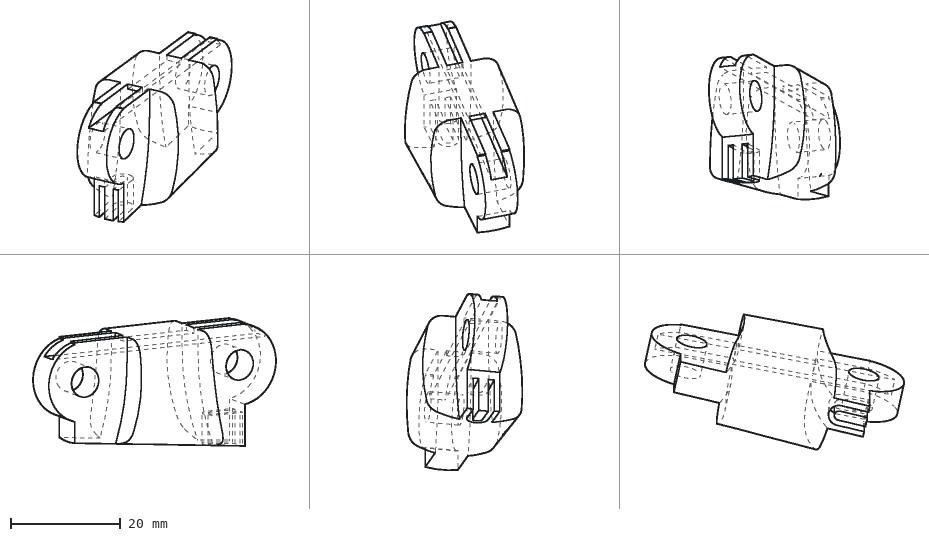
import cadquery as cq
import math

OVERALL_LENGTH = 46.95
TOTAL_HEIGHT = 22.95

LUG_WIDTH = 6.1
LUG_RADIUS = 7.5
HOLE_DIAMETER = 5.6
LUG_FRONT = -17.1
LUG_REAR = 18.08
PIVOT_Y = OVERALL_LENGTH / 2 - LUG_RADIUS
PIVOT_Z = -LUG_RADIUS

UNDERSIDE_SLOPE = 0.114
UNDERSIDE_RADIUS = 17.85

BODY_HALF_WIDTH = 9.273
WIDEST_Y = -7.5
WIDEST_Z = -11.75
SIDE_RADIUS = 43.65
SIDE_TAPER = 0.028
EDGE_RADIUS = 3.0
END_HALF_LENGTH = 7.32
END_RADIUS = 48.85
END_CURVE_START = -4.7

CHANNEL_WIDTH = 3.0
CHANNEL_FLOOR = -3.0
CHANNEL_ROOF = -1.0

GROOVE_OUTER_RADIUS = 1.95
GROOVE_INNER_RADIUS = 0.9
GROOVE_TOP = -16.55
GROOVE_CENTER_Y = -12.0

REACH = OVERALL_LENGTH
DEEP = -28.15


def section_plane(y):
    """XZ section plane at the given y, with X right and Z up."""
    return cq.Plane(origin=(0, y, 0), xDir=(1, 0, 0), normal=(0, -1, 0))


def loft_along_y(section, front, rear):
    """Ruled loft between the sections at two Y positions."""
    wires = [section(y).val() for y in (front, rear)]
    return cq.Workplane(obj=cq.Solid.makeLoft(wires, True))


def underside_section(y):
    """Region above the crowned underside."""
    half = 11.75
    lowest = -TOTAL_HEIGHT + UNDERSIDE_SLOPE * (y - LUG_FRONT)
    edge = lowest + UNDERSIDE_RADIUS - math.sqrt(UNDERSIDE_RADIUS**2 - half**2)
    return (
        cq.Workplane(section_plane(y))
        .moveTo(-half, 0)
        .lineTo(-half, edge)
        .threePointArc((0, lowest), (half, edge))
        .lineTo(half, 0)
        .close()
    )


def side_section(y):
    """Region between the two convex side walls."""
    half_width = BODY_HALF_WIDTH - SIDE_TAPER * (y - WIDEST_Y)
    widest_z = WIDEST_Z + UNDERSIDE_SLOPE * (y - WIDEST_Y)

    def wall_x(z):
        return half_width - SIDE_RADIUS + math.sqrt(SIDE_RADIUS**2 - (z - widest_z)**2)

    return (
        cq.Workplane(section_plane(y))
        .moveTo(-wall_x(0), 0)
        .threePointArc((-half_width, widest_z), (-wall_x(DEEP), DEEP))
        .lineTo(wall_x(DEEP), DEEP)
        .threePointArc((half_width, widest_z), (wall_x(0), 0))
        .close()
    )


def end_y(z):
    """Distance of the flared body end from the XZ plane below the straight part."""
    return END_HALF_LENGTH + END_RADIUS - math.sqrt(END_RADIUS**2 - (z - END_CURVE_START)**2)


def make_body(underside):
    blank_end = end_y(DEEP)
    body = loft_along_y(side_section, -blank_end, blank_end).intersect(underside)
    corners = [e for e in body.edges().vals() if e.Length() > 1.9 * blank_end]
    body = body.newObject(corners).fillet(EDGE_RADIUS)
    middle_z = (END_CURVE_START + DEEP) / 2
    ends = (
        cq.Workplane("YZ")
        .moveTo(-END_HALF_LENGTH, 0)
        .lineTo(-END_HALF_LENGTH, END_CURVE_START)
        .threePointArc((-end_y(middle_z), middle_z), (-end_y(DEEP), DEEP))
        .lineTo(end_y(DEEP), DEEP)
        .threePointArc((end_y(middle_z), middle_z), (END_HALF_LENGTH, END_CURVE_START))
        .lineTo(END_HALF_LENGTH, 0)
        .close()
        .extrude(REACH / 2, both=True)
    )
    return body.intersect(ends)


def make_lugs(underside):
    web_length = LUG_REAR - LUG_FRONT
    web_y = (LUG_REAR + LUG_FRONT) / 2
    web = cq.Workplane("XY").box(LUG_WIDTH, web_length, -DEEP).translate((0, web_y, DEEP / 2))
    lugs = web.intersect(underside)
    for y in (-PIVOT_Y, PIVOT_Y):
        eye = (
            cq.Workplane("YZ")
            .center(y, PIVOT_Z)
            .circle(LUG_RADIUS)
            .extrude(LUG_WIDTH / 2, both=True)
        )
        lugs = lugs.union(eye)
    return lugs


def make_pivot_holes():
    return (
        cq.Workplane("YZ")
        .pushPoints([(-PIVOT_Y, PIVOT_Z), (PIVOT_Y, PIVOT_Z)])
        .circle(HOLE_DIAMETER / 2)
        .extrude(REACH / 2, both=True)
    )


def make_channel():
    channel = cq.Workplane("XY").box(CHANNEL_WIDTH, OVERALL_LENGTH, -CHANNEL_FLOOR)
    roof = (
        cq.Workplane("XY")
        .box(CHANNEL_WIDTH, 2 * END_HALF_LENGTH, -CHANNEL_ROOF)
        .translate((0, 0, CHANNEL_ROOF / 2))
    )
    return channel.translate((0, 0, CHANNEL_FLOOR / 2)).cut(roof)


def u_prism(radius):
    """Upright prism with a round rear end and straight sides running out to the front."""
    return (
        cq.Workplane("XY")
        .workplane(offset=DEEP)
        .moveTo(-radius, LUG_FRONT)
        .lineTo(-radius, GROOVE_CENTER_Y)
        .threePointArc((0, GROOVE_CENTER_Y + radius), (radius, GROOVE_CENTER_Y))
        .lineTo(radius, LUG_FRONT)
        .close()
        .extrude(GROOVE_TOP - DEEP)
    )


underside_region = loft_along_y(underside_section, -REACH / 2, REACH / 2)
u_groove = u_prism(GROOVE_OUTER_RADIUS).cut(u_prism(GROOVE_INNER_RADIUS))

result = (
    make_body(underside_region)
    .union(make_lugs(underside_region))
    .cut(make_pivot_holes())
    .cut(make_channel())
    .cut(u_groove)
)